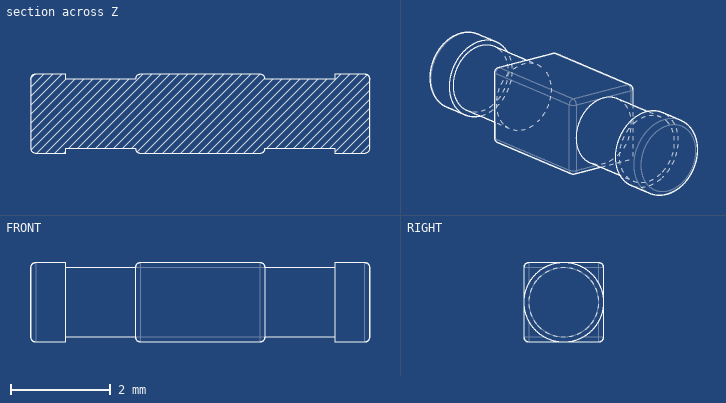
import cadquery as cq

total_length = 6.8
outer_width = 1.6
block_length = 2.6
shaft_diameter = 1.4
cap_length = 0.7
edge_radius = 0.1


def make_block():
    """Central square block with every edge rounded."""
    block = cq.Workplane("XY").box(block_length, outer_width, outer_width)
    return block.edges().fillet(edge_radius)


def make_shaft():
    """Round shaft through the block, ending halfway into each cap."""
    half_length = (total_length - cap_length) / 2
    return cq.Workplane("YZ").circle(shaft_diameter / 2).extrude(half_length, both=True)


def make_cap(side):
    """End cap with a rounded outer rim; side is -1 or +1 along X."""
    outer_end = side * total_length / 2
    cap = (
        cq.Workplane("YZ", origin=(outer_end, 0, 0))
        .circle(outer_width / 2)
        .extrude(-side * cap_length)
    )
    outer_face = ">X" if side > 0 else "<X"
    return cap.faces(outer_face).edges().fillet(edge_radius)


result = make_block().union(make_shaft())
for side in (-1, 1):
    result = result.union(make_cap(side))